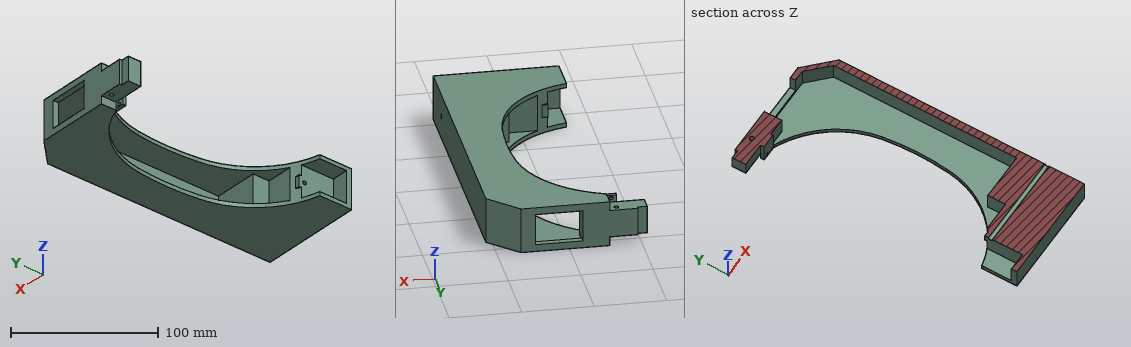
import cadquery as cq
import math

length_x = 108.0
length_y = 216.5
height = 33.0
plate_thickness = 3.2
wall_thickness = 4.5
side_wall_thickness = 6.3
slant_wall_thickness = 4.1
cavity_height = height - 2 * plate_thickness
cavity_end_y = length_y - wall_thickness
cavity_end_x = length_x - side_wall_thickness
corner_cut_x = 20.5
corner_cut_y = 20.3
lower_arm_x = 21.2
upper_arm_x = 26.2

opening_y = 115.5
opening_depth_x = 78.5
opening_joint_x = 76.8
opening_joint_y = 26.5
opening_mid_x = 59.0
opening_mid_y = 65.5
opening_end_y = 87.5

holder_width = 20.0
holder_bottom_y = 203.5
holder_step_x = 6.7
holder_step_y = 2.0
holder_end_x = 44.5
pin_x = 20.8
pin_y = 211.6
hole_diameter = 3.0
flange_x = 19.0
flange_end_x = 30.7
flange_height = 29.9
flange_face_y = 200.5
core_face_y = 202.3
screw_inset = 4.0
screw_edge = 2.0
screw_diameter = 2.5

window_end_x = 77.5
window_height = 22.5

plug_x = 35.3
plug_top_y = 36.5
plug_step_x = 65.0
plug_step_y = 50.6
boss_width = 9.5
boss_length = 8.7
bore_y = 29.9


def box(x0, x1, y0, y1, z_size):
    """Box between two X and two Y positions, centred on Z."""
    return (
        cq.Workplane("XY")
        .box(x1 - x0, y1 - y0, z_size)
        .translate(((x0 + x1) / 2, (y0 + y1) / 2, 0))
    )


def opening():
    """Bow-shaped opening made of a shallow arc between two tighter ones."""
    return (
        cq.Workplane("XY")
        .workplane(offset=-height / 2)
        .moveTo(0, opening_y - opening_end_y)
        .lineTo(lower_arm_x, opening_y - opening_end_y)
        .threePointArc(
            (opening_mid_x, opening_y - opening_mid_y),
            (opening_joint_x, opening_y - opening_joint_y),
        )
        .threePointArc(
            (opening_depth_x, opening_y),
            (opening_joint_x, opening_y + opening_joint_y),
        )
        .threePointArc(
            (opening_mid_x, opening_y + opening_mid_y),
            (upper_arm_x, holder_bottom_y),
        )
        .lineTo(0, holder_bottom_y)
        .close()
        .extrude(height)
    )


def cornered_block(x_end, y_start, y_end, corner_x, corner_y, z_size):
    """Block with its far upper corner cut off at a slant."""
    return (
        cq.Workplane("XY")
        .workplane(offset=-z_size / 2)
        .moveTo(lower_arm_x, y_start)
        .lineTo(x_end, y_start)
        .lineTo(x_end, corner_y)
        .lineTo(corner_x, y_end)
        .lineTo(lower_arm_x, y_end)
        .close()
        .extrude(z_size)
    )


def shell():
    """Two plates joined by a wall along the outer edges."""
    corner_x = length_x - corner_cut_x
    corner_y = length_y - corner_cut_y
    outer = cornered_block(length_x, 0, length_y, corner_x, corner_y, height)
    slant = math.atan2(corner_cut_y, corner_cut_x)
    slant_gap_x = slant_wall_thickness / math.sin(slant)
    slant_gap_y = slant_wall_thickness / math.cos(slant)
    inner_corner_x = corner_x + wall_thickness / math.tan(slant) - slant_gap_x
    inner_corner_y = corner_y + side_wall_thickness * math.tan(slant) - slant_gap_y
    cavity = cornered_block(
        cavity_end_x, wall_thickness, cavity_end_y, inner_corner_x, inner_corner_y, cavity_height
    )
    arm_end = box(0, upper_arm_x, opening_y, length_y, height)
    return outer.cut(cavity).cut(arm_end)


def lower_plug():
    """Stepped filling between the plates of the lower arm."""
    front = box(plug_x, plug_step_x, wall_thickness, plug_top_y, cavity_height)
    back = box(plug_step_x, cavity_end_x, wall_thickness, plug_step_y, cavity_height)
    return front.union(back)


def bore_boss():
    """Square boss around the bore, standing slightly proud of the plug."""
    half = boss_width / 2
    return box(plug_x, plug_x + boss_length, bore_y - half, bore_y + half, boss_width)


def bore():
    """Round hole along X through the lower arm."""
    return cq.Workplane("YZ").center(bore_y, 0).circle(hole_diameter / 2).extrude(length_x)


def holder():
    """Stepped bar with a pin hole, a screwed flange and a block inside the arm."""
    bar = box(0, upper_arm_x, holder_bottom_y, length_y, holder_width)
    bar = bar.cut(box(0, holder_step_x, length_y - holder_step_y, length_y, holder_width))
    pin_hole = (
        cq.Workplane("XY")
        .center(pin_x, pin_y)
        .circle(hole_diameter / 2)
        .extrude(height, both=True)
    )
    flange = box(flange_x, flange_end_x, flange_face_y, holder_bottom_y, flange_height)
    core = box(upper_arm_x, holder_end_x, core_face_y, length_y, cavity_height)
    screw_z = flange_height / 2 - screw_edge
    screws = (
        cq.Workplane("XZ", origin=(flange_x + screw_inset, flange_face_y, 0))
        .pushPoints([(0, screw_z), (0, -screw_z)])
        .circle(screw_diameter / 2)
        .extrude(flange_face_y - holder_bottom_y)
    )
    return bar.cut(pin_hole).union(flange.cut(screws)).union(core)


def window():
    """Rectangular window through the upper wall."""
    return box(holder_end_x, window_end_x, cavity_end_y, length_y, window_height)


body = shell().union(lower_plug()).cut(opening())
result = body.cut(window()).union(bore_boss()).cut(bore()).union(holder())